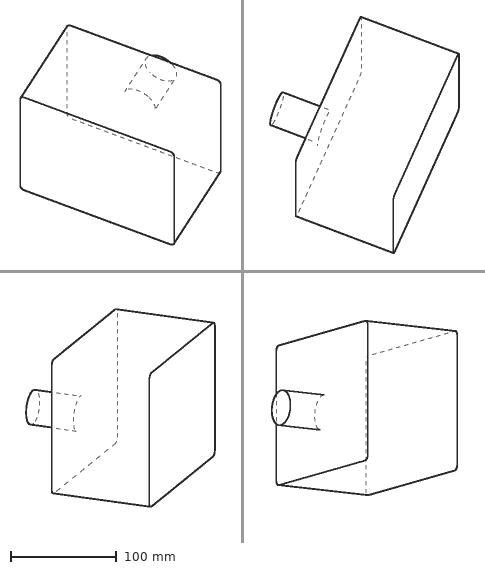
import cadquery as cq

width = 162.3
depth = 100.0
height = 134.2
edge_radius = 5.0

stem_diameter = 33.3
stem_length = 50.0
stem_x = -6.8
stem_z = -10.5
root_radius = 5.0


def make_housing():
    """Block with its four depth-wise edges rounded."""
    block = cq.Workplane("XY").box(width, depth, height, centered=(True, False, True))
    return block.edges("|Y").fillet(edge_radius)


def make_stem():
    """Stem along Y whose root flares into the back face with a concave arc."""
    radius = stem_diameter / 2
    arc_offset = root_radius * (1 - 0.5 ** 0.5)
    profile = (
        cq.Workplane("XY")
        .lineTo(radius + root_radius, 0)
        .threePointArc((radius + arc_offset, arc_offset), (radius, root_radius))
        .lineTo(radius, stem_length)
        .lineTo(0, stem_length)
        .close()
    )
    stem = profile.revolve(360, (0, 0), (0, 1))
    return stem.translate((stem_x, depth, stem_z))


result = make_housing().union(make_stem())